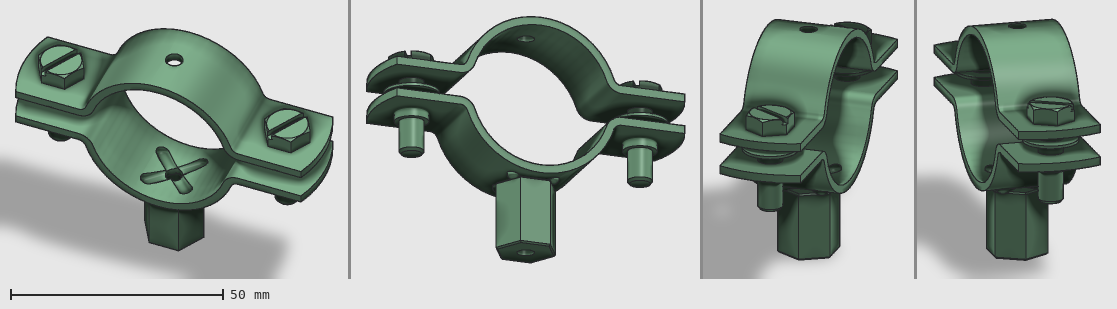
import cadquery as cq
import math


clamp_length = 76.4
strap_width = 20.0
strap_thickness = 2.0
ring_outer_radius = 19.5
ring_inner_radius = ring_outer_radius - strap_thickness
flange_gap = 5.95
flange_inner_z = flange_gap / 2
flange_outer_z = flange_inner_z + strap_thickness
bend_inner_radius = 2.0
bend_outer_radius = bend_inner_radius + strap_thickness
flange_end_sagitta = 2.0
center_hole_diameter = 4.05

bolt_offset_x = 28.7
shank_diameter = 5.95
shank_radius = shank_diameter / 2
shank_bottom_z = -15.1
shank_chamfer_width = 0.5
shank_chamfer_height = 0.7
head_across_flats = 10.0
head_height = 4.0
head_chamfer_radius = 4.9
head_chamfer_angle = 30.0
slot_width = 1.5
slot_depth = 1.45
slot_angle = 60.0

collar_diameter = 8.2
collar_height = 2.1
collar_fillet = 0.3

washer_diameter = 13.2
washer_thickness = 0.7

cross_arm_length = 6.9
cross_arm_width = 3.1
cross_angles = (45.0, 135.0)
cross_edge_radius = 1.15
groove_floor_z = -18.1
rib_bottom_z = -19.9

nut_across_flats = 13.0
nut_top_z = -ring_outer_radius
nut_bottom_z = -36.1
nut_chamfer = 0.4


def hexagon_corner_distance(across_flats):
    """Diameter through the corners of a hexagon."""
    return across_flats / math.cos(math.radians(30))


def vertical_cylinder(diameter, bottom_z, top_z, x=0.0):
    return (
        cq.Workplane("XY", origin=(x, 0, bottom_z))
        .circle(diameter / 2)
        .extrude(top_z - bottom_z)
    )


def strap_outline():
    """Closed XZ outline of the upper strap: half ring, two bends and two flanges."""
    half_length = clamp_length / 2
    bend_z = flange_outer_z + bend_inner_radius
    center_distance = ring_outer_radius + bend_inner_radius
    bend_x = math.sqrt(center_distance**2 - bend_z**2)
    bend_angle = math.atan2(bend_z, bend_x)
    middle_angle = (bend_angle + math.pi / 2) / 2

    def ring_point(radius):
        return (radius * math.cos(bend_angle), radius * math.sin(bend_angle))

    def bend_middle(radius):
        return (bend_x - radius * math.cos(middle_angle), bend_z - radius * math.sin(middle_angle))

    def mirrored(point):
        return (-point[0], point[1])

    outer_tangent = ring_point(ring_outer_radius)
    inner_tangent = ring_point(ring_inner_radius)
    return (
        cq.Workplane("XZ", origin=(0, strap_width / 2, 0))
        .moveTo(-half_length, flange_outer_z)
        .lineTo(-bend_x, flange_outer_z)
        .threePointArc(mirrored(bend_middle(bend_inner_radius)), mirrored(outer_tangent))
        .threePointArc((0, ring_outer_radius), outer_tangent)
        .threePointArc(bend_middle(bend_inner_radius), (bend_x, flange_outer_z))
        .lineTo(half_length, flange_outer_z)
        .lineTo(half_length, flange_inner_z)
        .lineTo(bend_x, flange_inner_z)
        .threePointArc(bend_middle(bend_outer_radius), inner_tangent)
        .threePointArc((0, ring_inner_radius), mirrored(inner_tangent))
        .threePointArc(mirrored(bend_middle(bend_outer_radius)), (-bend_x, flange_inner_z))
        .lineTo(-half_length, flange_inner_z)
        .close()
    )


def rounded_end_blank():
    """Plan shape of a strap, with both ends bowed outward."""
    tip_x = clamp_length / 2
    corner_x = tip_x - flange_end_sagitta
    half_width = strap_width / 2
    return (
        cq.Workplane("XY")
        .moveTo(-corner_x, -half_width)
        .lineTo(corner_x, -half_width)
        .threePointArc((tip_x, 0), (corner_x, half_width))
        .lineTo(-corner_x, half_width)
        .threePointArc((-tip_x, 0), (-corner_x, -half_width))
        .close()
        .extrude(ring_outer_radius)
    )


def make_upper_strap():
    strap = strap_outline().extrude(strap_width).intersect(rounded_end_blank())
    strap = strap.cut(vertical_cylinder(center_hole_diameter, 0, ring_outer_radius))
    for x in (-bolt_offset_x, bolt_offset_x):
        strap = strap.cut(vertical_cylinder(shank_diameter, 0, flange_outer_z, x))
    return strap


def make_cross(bottom_z):
    """Cross of two round-ended bars with rounded bottom edges, rising to the ring axis."""
    bars = [
        cq.Workplane("XY", origin=(0, 0, bottom_z))
        .slot2D(2 * cross_arm_length + cross_arm_width, cross_arm_width, angle)
        .extrude(-bottom_z)
        .faces("<Z")
        .edges()
        .fillet(cross_edge_radius)
        for angle in cross_angles
    ]
    return bars[0].union(bars[1])


def make_ribs():
    """Part of the cross pressed out below the inner surface of the ring."""
    ring_inside = cq.Workplane("XZ").circle(ring_inner_radius).extrude(strap_width / 2, both=True)
    return make_cross(rib_bottom_z).cut(ring_inside)


def make_collar(x):
    """Collar below a lower flange, with a fillet into the flange."""
    collar_radius = collar_diameter / 2
    bottom_z = -flange_outer_z - collar_height
    fillet_rise = collar_fillet * (1 - math.sqrt(0.5))
    return (
        cq.Workplane("XZ", origin=(x, 0, 0))
        .moveTo(0, bottom_z)
        .lineTo(collar_radius, bottom_z)
        .lineTo(collar_radius, -flange_outer_z - collar_fillet)
        .threePointArc(
            (collar_radius + fillet_rise, -flange_outer_z - fillet_rise),
            (collar_radius + collar_fillet, -flange_outer_z),
        )
        .lineTo(0, -flange_outer_z)
        .close()
        .revolve(360, (0, 0), (0, 1))
    )


def make_lower_strap(ribs):
    strap = strap_outline().extrude(strap_width).intersect(rounded_end_blank()).mirror("XY")
    strap = strap.union(ribs).cut(make_cross(groove_floor_z))
    strap = strap.cut(vertical_cylinder(center_hole_diameter, rib_bottom_z, 0))
    for x in (-bolt_offset_x, bolt_offset_x):
        strap = strap.union(make_collar(x))
        strap = strap.cut(vertical_cylinder(shank_diameter, -flange_outer_z - collar_height, 0, x))
    return strap


def make_bolt_head():
    """Hexagonal head with conically trimmed corners and a slanted screwdriver slot."""
    corner_distance = hexagon_corner_distance(head_across_flats)
    corner_radius = corner_distance / 2
    top_z = flange_outer_z + head_height
    corner_drop = (corner_radius - head_chamfer_radius) * math.tan(math.radians(head_chamfer_angle))
    head = (
        cq.Workplane("XY", origin=(0, 0, flange_outer_z))
        .polygon(6, corner_distance)
        .extrude(head_height)
    )
    chamfered_envelope = (
        cq.Workplane("XZ")
        .moveTo(0, flange_outer_z)
        .lineTo(corner_radius, flange_outer_z)
        .lineTo(corner_radius, top_z - corner_drop)
        .lineTo(head_chamfer_radius, top_z)
        .lineTo(0, top_z)
        .close()
        .revolve(360, (0, 0), (0, 1))
    )
    slot = (
        cq.Workplane("XY", origin=(0, 0, top_z - slot_depth))
        .transformed(rotate=(0, 0, slot_angle))
        .rect(2 * corner_distance, slot_width)
        .extrude(slot_depth)
    )
    return head.intersect(chamfered_envelope).cut(slot)


def make_bolt(x):
    shank = (
        cq.Workplane("XZ")
        .moveTo(0, flange_outer_z)
        .lineTo(shank_radius, flange_outer_z)
        .lineTo(shank_radius, shank_bottom_z + shank_chamfer_height)
        .lineTo(shank_radius - shank_chamfer_width, shank_bottom_z)
        .lineTo(0, shank_bottom_z)
        .close()
        .revolve(360, (0, 0), (0, 1))
    )
    return make_bolt_head().union(shank).translate((x, 0, 0))


def make_washer(x):
    """Thin ring on the bolt shank, midway between the flanges."""
    return (
        cq.Workplane("XY", origin=(x, 0, -washer_thickness / 2))
        .circle(washer_diameter / 2)
        .circle(shank_radius)
        .extrude(washer_thickness)
    )


def make_nut(ribs):
    """Bored hex nut whose top is recessed to seat the ribs."""
    nut = (
        cq.Workplane("XY", origin=(0, 0, nut_bottom_z))
        .polygon(6, hexagon_corner_distance(nut_across_flats))
        .extrude(nut_top_z - nut_bottom_z)
    )
    for end_face in (">Z", "<Z"):
        nut = nut.faces(end_face).chamfer(nut_chamfer)
    nut = nut.cut(vertical_cylinder(center_hole_diameter, nut_bottom_z, nut_top_z))
    return nut.cut(ribs)


cross_ribs = make_ribs()
upper_strap = make_upper_strap()
lower_strap = make_lower_strap(cross_ribs)
connection_nut = make_nut(cross_ribs)
bolts = [make_bolt(x) for x in (-bolt_offset_x, bolt_offset_x)]
washers = [make_washer(x) for x in (-bolt_offset_x, bolt_offset_x)]

result = cq.Compound.makeCompound([
    upper_strap.solids().val(),
    lower_strap.solids().val(),
    connection_nut.solids().val(),
    *[bolt.solids().val() for bolt in bolts],
    *[washer.solids().val() for washer in washers],
])